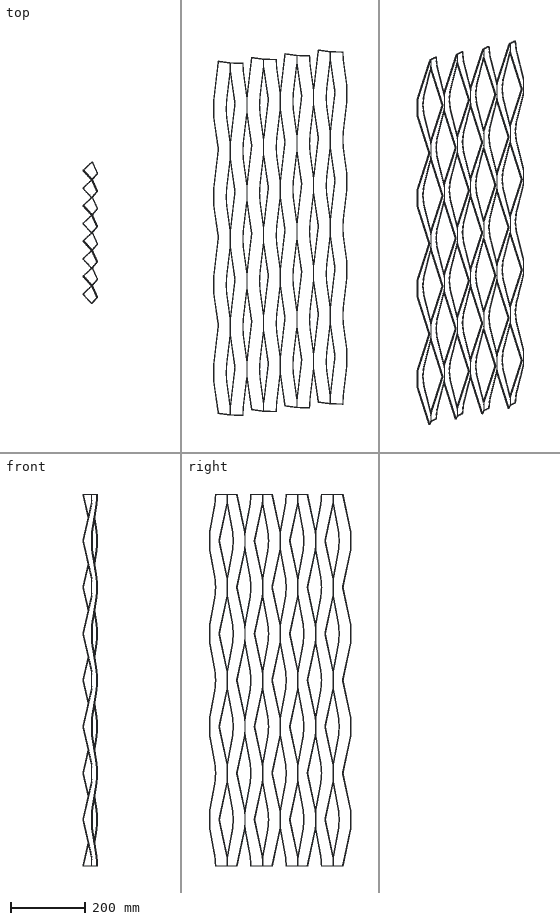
import cadquery as cq
import math

PANEL_HEIGHT = 1000.0
PANEL_WIDTH = 381.13
PANEL_DEPTH = 40.0
MESH_PITCH = 95.0
OPENINGS_ACROSS = 4
OPENINGS_HIGH = 4
SHEET = 2.75

STRAND_COUNT = 2 * OPENINGS_ACROSS
STRAND_SPACING = MESH_PITCH / 2
LEVEL_COUNT = 2 * OPENINGS_HIGH
LEVEL_HEIGHT = PANEL_HEIGHT / LEVEL_COUNT
TOP_BOND_Y = OPENINGS_ACROSS * MESH_PITCH / 2

BOND_X = 3.37
FRONT_TIP_X = -PANEL_DEPTH / 2
FRONT_WING_RISE = 25.25
BOND_HALF_HEIGHT = 17.0
JOINT_HALF_HEIGHT = 25.0

BOND_LEAD = 0.027
REAR_TIP_LEAD = 0.118

FRONT_WING_ANGLE = math.atan2(BOND_X - FRONT_TIP_X, FRONT_WING_RISE)
REAR_WING_ANGLE = math.asin((PANEL_WIDTH - OPENINGS_ACROSS * MESH_PITCH) / SHEET)

FRONT_STEP = (SHEET * math.cos(FRONT_WING_ANGLE), SHEET * math.sin(FRONT_WING_ANGLE))
REAR_STEP = (SHEET * math.cos(REAR_WING_ANGLE), SHEET * math.sin(REAR_WING_ANGLE))

REAR_TIP_X = PANEL_DEPTH / 2 - REAR_STEP[0]
REAR_WING_DROP = (REAR_TIP_X - BOND_X) / math.tan(REAR_WING_ANGLE)


def partway(start, end, share):
    """Point in plan that lies the given share of the way from start to end."""
    return tuple(s + share * (e - s) for s, e in zip(start, end))


def corner(plan_point, z, step):
    """Front-skin and rear-skin corners of the sheet at one place."""
    x, y = plan_point
    return (x, y, z), (x + step[0], y + step[1], z)


def strand_half_corners(strand, front_z, rear_z):
    """Sheet corners of one strand between its front-wing level and its rear-wing level."""
    upper_y = TOP_BOND_Y - strand * STRAND_SPACING
    lower_y = upper_y - STRAND_SPACING
    front_bond = (BOND_X, lower_y)
    front_tip = (FRONT_TIP_X, lower_y + FRONT_WING_RISE)
    rear_bond = (BOND_X, upper_y)
    rear_tip = (REAR_TIP_X, upper_y - REAR_WING_DROP)
    front_exit = partway(front_bond, rear_tip, BOND_LEAD)
    rear_exit = partway(rear_bond, front_tip, BOND_LEAD)
    rear_tip_exit = partway(rear_tip, front_bond, REAR_TIP_LEAD)

    way = math.copysign(1, rear_z - front_z)
    front_bond_end_z = front_z + way * BOND_HALF_HEIGHT
    front_joint_end_z = front_z + way * JOINT_HALF_HEIGHT
    rear_bond_end_z = rear_z - way * BOND_HALF_HEIGHT
    rear_joint_end_z = rear_z - way * JOINT_HALF_HEIGHT
    return {
        "front tip": corner(front_tip, front_z, FRONT_STEP),
        "front bond": corner(front_bond, front_z, REAR_STEP),
        "front bond end": corner(front_bond, front_bond_end_z, REAR_STEP),
        "front exit": corner(front_exit, front_joint_end_z, REAR_STEP),
        "rear tip exit": corner(rear_tip_exit, rear_joint_end_z, REAR_STEP),
        "rear tip": corner(rear_tip, rear_z, REAR_STEP),
        "rear bond": corner(rear_bond, rear_z, REAR_STEP),
        "rear bond end": corner(rear_bond, rear_bond_end_z, REAR_STEP),
        "rear exit": corner(rear_exit, rear_joint_end_z, REAR_STEP),
    }


FRONT_SKIN = 0
REAR_SKIN = 1

FACETS = [
    ("front tip", "front bond", "front bond end"),
    ("front tip", "front bond end", "front exit"),
    ("front tip", "front exit", "rear tip exit", "rear exit"),
    ("rear exit", "rear tip exit", "rear tip", "rear bond end"),
    ("rear bond end", "rear tip", "rear bond"),
]
RIM = [
    "front tip",
    "front bond",
    "front bond end",
    "front exit",
    "rear tip exit",
    "rear tip",
    "rear bond",
    "rear bond end",
    "rear exit",
]


def half_strand_outlines(corners):
    """Corner loops of the front skin, rear skin and rim of a half strand."""
    outlines = []
    for facet in FACETS:
        for skin in (FRONT_SKIN, REAR_SKIN):
            outlines.append([corners[name][skin] for name in facet])
    for name, next_name in zip(RIM, RIM[1:] + RIM[:1]):
        near, far = corners[name], corners[next_name]
        outlines.append([near[FRONT_SKIN], far[FRONT_SKIN], far[REAR_SKIN], near[REAR_SKIN]])
    return outlines


def skin_face(points):
    """Flat face on three corners, or a ruled face on four."""
    vectors = [cq.Vector(*point) for point in points]
    if len(vectors) == 3:
        return cq.Face.makeFromWires(cq.Wire.makePolygon(vectors, close=True))
    first_edge = cq.Edge.makeLine(vectors[0], vectors[1])
    opposite_edge = cq.Edge.makeLine(vectors[3], vectors[2])
    return cq.Face.makeRuledSurface(first_edge, opposite_edge)


def outline_key(points):
    """The same key for the same corners, whatever their order."""
    decimals = 4
    return frozenset(tuple(round(value, decimals) for value in point) for point in points)


def panel():
    """All half strands as one solid; a face shared by two of them is inside and is left out."""
    outer_outlines = {}
    for strand in range(STRAND_COUNT):
        for level in range(LEVEL_COUNT):
            lower_z = level * LEVEL_HEIGHT
            upper_z = lower_z + LEVEL_HEIGHT
            if (strand + level) % 2 == 0:
                corners = strand_half_corners(strand, lower_z, upper_z)
            else:
                corners = strand_half_corners(strand, upper_z, lower_z)
            for outline in half_strand_outlines(corners):
                key = outline_key(outline)
                if key in outer_outlines:
                    del outer_outlines[key]
                else:
                    outer_outlines[key] = outline
    faces = [skin_face(outline) for outline in outer_outlines.values()]
    return cq.Solid.makeSolid(cq.Shell.makeShell(faces))


result = cq.Workplane("XY").newObject([panel().fix().clean()])